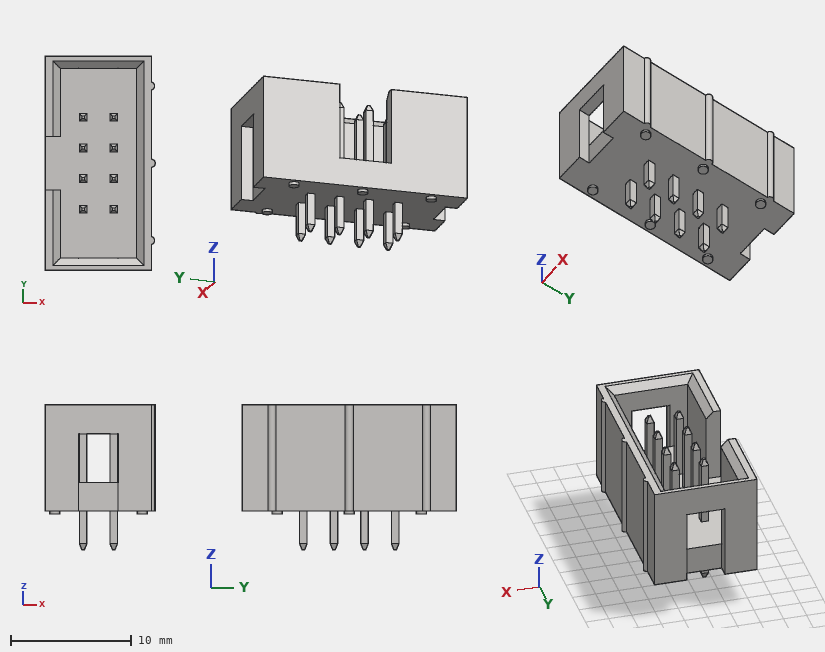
import cadquery as cq


body_x = 8.87
body_y = 17.82
body_z = 8.87
side_wall = 1.27
end_wall = 1.02
floor_z = 2.39
rim_chamfer = 0.62

key_width = 4.49
end_slot_width = 3.3
end_slot_top = 6.43

pin_rows = 2
pins_per_row = 4
pin_pitch = 2.55
pin_side = 0.65
pin_tip_side = 0.21
pin_tip_height = 0.52
pin_bottom = -3.23
pin_recess = 0.52
pin_top = body_z - pin_recess

peg_diameter = 0.85
peg_height = 0.25
pegs_x = 2
pegs_y = 3
peg_spacing_x = 7.29
peg_spacing_y = 6.0

rib_radius = 0.34
rib_spacing = 6.43
middle_rib_reach = 0.3
outer_rib_reach = 0.25


def box(size_x, size_y, bottom, top):
    """Upright block centred on the Z axis between two heights."""
    block = cq.Workplane("XY").box(size_x, size_y, top - bottom, centered=(True, True, False))
    return block.translate((0, 0, bottom))


def make_housing():
    housing = box(body_x, body_y, 0, body_z)

    cavity_x = body_x - 2 * side_wall
    cavity_y = body_y - 2 * end_wall
    housing = housing.cut(box(cavity_x, cavity_y, floor_z, body_z))
    mouth = (
        cq.Workplane("XY", origin=(0, 0, body_z - rim_chamfer))
        .rect(cavity_x, cavity_y)
        .workplane(offset=rim_chamfer)
        .rect(cavity_x + 2 * rim_chamfer, cavity_y + 2 * rim_chamfer)
        .loft(ruled=True)
    )
    housing = housing.cut(mouth)

    key_notch = box(side_wall, key_width, floor_z, body_z)
    housing = housing.cut(key_notch.translate(((side_wall - body_x) / 2, 0, 0)))

    end_slot = box(end_slot_width, end_wall, 0, end_slot_top)
    for side in (-1, 1):
        housing = housing.cut(end_slot.translate((0, side * (body_y - end_wall) / 2, 0)))
    return housing


def make_pin_tip(base_z, direction):
    """Tapered pin end growing up (direction 1) or down (direction -1) from base_z."""
    return (
        cq.Workplane("XY", origin=(0, 0, base_z))
        .rect(pin_side, pin_side)
        .workplane(offset=direction * pin_tip_height)
        .rect(pin_tip_side, pin_tip_side)
        .loft(ruled=True)
    )


def make_pin():
    shank_bottom = pin_bottom + pin_tip_height
    shank_top = pin_top - pin_tip_height
    shank = box(pin_side, pin_side, shank_bottom, shank_top)
    return shank.union(make_pin_tip(shank_top, 1)).union(make_pin_tip(shank_bottom, -1))


def make_pegs():
    return (
        cq.Workplane("XY")
        .rarray(peg_spacing_x, peg_spacing_y, pegs_x, pegs_y)
        .circle(peg_diameter / 2)
        .extrude(-peg_height)
    )


def make_rib(y, reach):
    """Full-height round rib standing out from the +X wall by the given reach."""
    center_x = body_x / 2 + reach - rib_radius
    return cq.Workplane("XY").center(center_x, y).circle(rib_radius).extrude(body_z)


def centered_places(count, pitch):
    """Evenly pitched positions centred on zero."""
    return [(i - (count - 1) / 2) * pitch for i in range(count)]


result = make_housing().union(make_pegs())

pin = make_pin()
for pin_x in centered_places(pin_rows, pin_pitch):
    for pin_y in centered_places(pins_per_row, pin_pitch):
        result = result.union(pin.translate((pin_x, pin_y, 0)))

result = result.union(make_rib(0, middle_rib_reach))
for side in (-1, 1):
    result = result.union(make_rib(side * rib_spacing, outer_rib_reach))